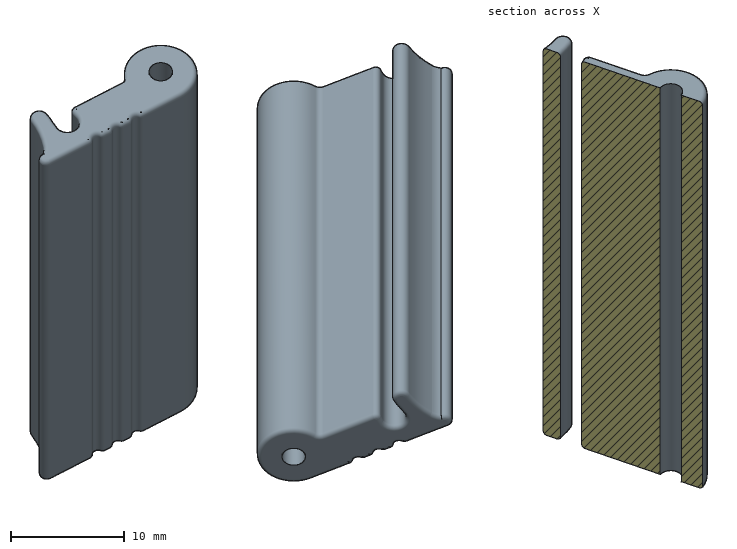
import math

import cadquery as cq

LENGTH = 44.4
BARREL_RADIUS = 3.205
TOTAL_DEPTH = 17.55
PIN_HOLE_RADIUS = 1.03
END_ROUND = 0.41

BACK_X = BARREL_RADIUS
BOTTOM_Y = BARREL_RADIUS - TOTAL_DEPTH
WEB_X = -1.0
NECK_RADIUS = 0.62
WEB_CORNER_RADIUS = 0.5
WEB_CORNER_DROP = 0.05

SLOT_RADIUS = 1.04
SLOT_CENTER_X = 0.15
SLOT_CENTER_Y = -9.93
SLOT_TOP_Y = SLOT_CENTER_Y + SLOT_RADIUS
SLOT_BOTTOM_Y = SLOT_CENTER_Y - SLOT_RADIUS

HOOK_TIP_X = -2.5
HOOK_TOP_Y = -10.86
HOOK_TIP_RADIUS = 0.8
LIP_START_X = -1.14
LIP_END_X = -0.61
LIP_DROP = 0.06
HOOK_TIP_CENTER_X = HOOK_TIP_X + HOOK_TIP_RADIUS
HOOK_TIP_CENTER_Y = HOOK_TOP_Y - HOOK_TIP_RADIUS
UNDERSIDE_START = (HOOK_TIP_CENTER_X, HOOK_TIP_CENTER_Y - HOOK_TIP_RADIUS)
UNDERSIDE_MIDDLE = (-0.15, -12.68)
UNDERSIDE_END = (1.22, -13.15)

FOOT_RADIUS = 0.66
FOOT_CENTER_X = BACK_X - FOOT_RADIUS
FOOT_CENTER_Y = BOTTOM_Y + FOOT_RADIUS

GROOVE_PITCH = 2.05
FIRST_GROOVE_Y = -4.65
GROOVE_RADIUS = 0.5
UPPER_GROOVE_DEPTH = 0.36
LOWEST_GROOVE_DEPTH = 0.43
GROOVE_DEPTHS = (UPPER_GROOVE_DEPTH, UPPER_GROOVE_DEPTH, LOWEST_GROOVE_DEPTH)
GROOVE_EDGE_RADIUS = 0.43


def polar(center, radius, degrees):
    """Point on a circle, at an angle measured from +X."""
    angle = math.radians(degrees)
    return (center[0] + radius * math.cos(angle), center[1] + radius * math.sin(angle))


def add_barrel_and_neck(outline):
    """Barrel from the back wall over the top, then the neck fillet into the web."""
    neck_x = WEB_X - NECK_RADIUS
    neck_y = -math.sqrt((BARREL_RADIUS + NECK_RADIUS) ** 2 - neck_x**2)
    neck_angle = math.degrees(math.atan2(neck_y, neck_x)) + 360
    joint = polar((0, 0), BARREL_RADIUS, neck_angle)
    neck_middle = polar((neck_x, neck_y), NECK_RADIUS, (neck_angle - 180) / 2)
    outline = outline.threePointArc((0, BARREL_RADIUS), (-BARREL_RADIUS, 0))
    outline = outline.threePointArc(
        polar((0, 0), BARREL_RADIUS, (180 + neck_angle) / 2), joint
    )
    return outline.threePointArc(neck_middle, (WEB_X, neck_y))


def add_slot(outline):
    """Web face, rounded web corner and the round-ended slot, slightly narrowed at its mouth."""
    corner_bottom_y = SLOT_TOP_Y - WEB_CORNER_DROP
    corner_center = (WEB_X + WEB_CORNER_RADIUS, corner_bottom_y + WEB_CORNER_RADIUS)
    outline = outline.lineTo(WEB_X, corner_center[1])
    outline = outline.threePointArc(
        polar(corner_center, WEB_CORNER_RADIUS, 225), (corner_center[0], corner_bottom_y)
    )
    outline = outline.lineTo(SLOT_CENTER_X, SLOT_TOP_Y)
    slot_end = (SLOT_CENTER_X + SLOT_RADIUS, SLOT_CENTER_Y)
    return outline.threePointArc(slot_end, (SLOT_CENTER_X, SLOT_BOTTOM_Y))


def add_hook(outline):
    """Hook finger with its raised lip, half-round tip and hollow underside."""
    outline = outline.lineTo(LIP_END_X, HOOK_TOP_Y - LIP_DROP)
    outline = outline.lineTo(LIP_START_X, HOOK_TOP_Y)
    outline = outline.lineTo(HOOK_TIP_CENTER_X, HOOK_TOP_Y)
    tip_center = (HOOK_TIP_CENTER_X, HOOK_TIP_CENTER_Y)
    outline = outline.threePointArc(
        polar(tip_center, HOOK_TIP_RADIUS, 135), (HOOK_TIP_X, HOOK_TIP_CENTER_Y)
    )
    outline = outline.threePointArc(polar(tip_center, HOOK_TIP_RADIUS, 225), UNDERSIDE_START)
    return outline.threePointArc(UNDERSIDE_MIDDLE, UNDERSIDE_END)


def add_foot(outline):
    """Smaller hollow running into the half-round foot."""
    center = (FOOT_CENTER_X, FOOT_CENTER_Y)
    outline = outline.tangentArcPoint((FOOT_CENTER_X - FOOT_RADIUS, FOOT_CENTER_Y), relative=False)
    return outline.threePointArc(polar(center, FOOT_RADIUS, 270), (BACK_X, FOOT_CENTER_Y))


def add_groove(outline, center_y, depth):
    """One round groove in the back with rounded edges, drawn towards +Y."""
    groove_x = BACK_X + GROOVE_RADIUS - depth
    edge_x = BACK_X - GROOVE_EDGE_RADIUS
    center_distance = GROOVE_RADIUS + GROOVE_EDGE_RADIUS
    edge_dy = math.sqrt(center_distance**2 - (groove_x - edge_x) ** 2)
    edge_angle = math.degrees(math.atan2(edge_dy, groove_x - edge_x))
    lower_edge = (edge_x, center_y - edge_dy)
    upper_edge = (edge_x, center_y + edge_dy)
    outline = outline.lineTo(BACK_X, lower_edge[1])
    outline = outline.threePointArc(
        polar(lower_edge, GROOVE_EDGE_RADIUS, edge_angle / 2),
        polar(lower_edge, GROOVE_EDGE_RADIUS, edge_angle),
    )
    outline = outline.threePointArc(
        (BACK_X - depth, center_y), polar(upper_edge, GROOVE_EDGE_RADIUS, -edge_angle)
    )
    return outline.threePointArc(
        polar(upper_edge, GROOVE_EDGE_RADIUS, -edge_angle / 2), (BACK_X, upper_edge[1])
    )


def make_body():
    """Extruded section with both ends rounded over."""
    outline = cq.Workplane("XY").moveTo(BACK_X, 0)
    outline = add_barrel_and_neck(outline)
    outline = add_slot(outline)
    outline = add_hook(outline)
    outline = add_foot(outline)
    for index in reversed(range(len(GROOVE_DEPTHS))):
        outline = add_groove(outline, FIRST_GROOVE_Y - index * GROOVE_PITCH, GROOVE_DEPTHS[index])
    body = outline.close().extrude(LENGTH)
    return body.faces("<Z or >Z").edges().fillet(END_ROUND)


def make_pin_hole():
    """Pin hole through the barrel, along its whole length."""
    return cq.Workplane("XY").circle(PIN_HOLE_RADIUS).extrude(LENGTH)


result = make_body().cut(make_pin_hole())